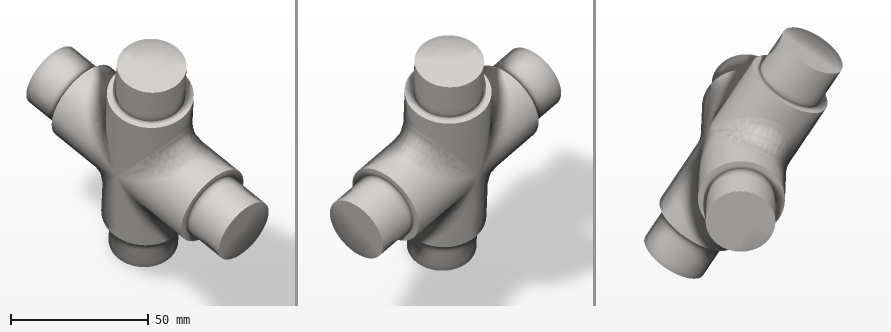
import cadquery as cq

body_diameter = 31.7
spigot_diameter = 25.4
body_length = 67.5
overall_length = 100.3
fillet_radius = 9.5
tilt_angle = 2.5

ARM_PLANES = ("XY", "YZ")


def crossed_bars(diameter, length):
    """Two round bars of equal size crossing at right angles at the origin."""
    bars = cq.Workplane()
    for plane in ARM_PLANES:
        bar = cq.Workplane(plane).circle(diameter / 2).extrude(length / 2, both=True)
        bars = bars.union(bar)
    return bars


def filleted_body():
    """Thick cross, filleted one quarter at a time because the corner curves meet at a point."""
    quarter_space = cq.Workplane().box(body_length, body_length, body_length, centered=(False, True, False))
    quarter = crossed_bars(body_diameter, body_length).intersect(quarter_space)
    quarter = quarter.edges("%ELLIPSE").fillet(fillet_radius)
    half = quarter.union(quarter.mirror("YZ"))
    return half.union(half.mirror("XY"))


cross = filleted_body().union(crossed_bars(spigot_diameter, overall_length))
result = cross.rotate((0, 0, 0), (0, 1, 0), tilt_angle)